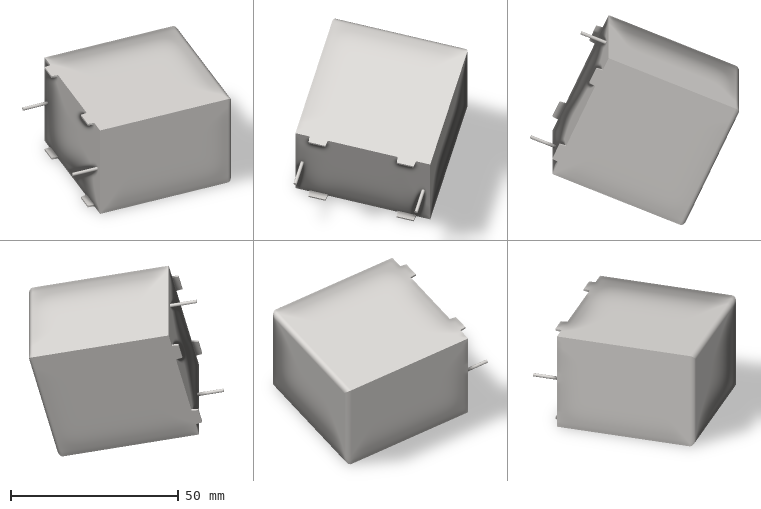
import cadquery as cq

OVERALL_DEPTH = 51.1

CASE_WIDTH = 41.8
CASE_DEPTH = 43.1
CASE_HEIGHT = 30.3
BACK_FILLET = 1.55

TAB_ROOT_WIDTH = 5.7
TAB_TIP_WIDTH = 5.2
TAB_LENGTH = 2.0
TAB_THICKNESS = 0.6
TAB_SPACING = 27.35

PIN_DIAMETER = 1.0
PIN_SPACING = 37.5
PIN_LENGTH = OVERALL_DEPTH - CASE_DEPTH

FRONT_FACE_Y = 0.0


def make_tab(center_x, bottom_z):
    """Tapered tongue pointing forward (-Y) from the front face."""
    tip_y = FRONT_FACE_Y - TAB_LENGTH
    return (
        cq.Workplane("XY", origin=(center_x, 0, bottom_z))
        .moveTo(-TAB_ROOT_WIDTH / 2, FRONT_FACE_Y)
        .lineTo(-TAB_TIP_WIDTH / 2, tip_y)
        .lineTo(TAB_TIP_WIDTH / 2, tip_y)
        .lineTo(TAB_ROOT_WIDTH / 2, FRONT_FACE_Y)
        .close()
        .extrude(TAB_THICKNESS)
    )


def make_case():
    """Solid box with a rounded back rim and four standoff tabs."""
    case = (
        cq.Workplane("XY", origin=(0, FRONT_FACE_Y, 0))
        .box(CASE_WIDTH, CASE_DEPTH, CASE_HEIGHT, centered=(True, False, True))
        .faces(">Y")
        .edges()
        .fillet(BACK_FILLET)
    )
    upper_tab_z = CASE_HEIGHT / 2 - TAB_THICKNESS
    lower_tab_z = -CASE_HEIGHT / 2
    for center_x in (-TAB_SPACING / 2, TAB_SPACING / 2):
        for bottom_z in (upper_tab_z, lower_tab_z):
            case = case.union(make_tab(center_x, bottom_z))
    return case


def make_pin(center_x):
    """Round wire from the front face forward (-Y), at mid height."""
    return (
        cq.Workplane("XZ", origin=(center_x, FRONT_FACE_Y, 0))
        .circle(PIN_DIAMETER / 2)
        .extrude(PIN_LENGTH)
    )


case = make_case()
pins = [make_pin(center_x) for center_x in (-PIN_SPACING / 2, PIN_SPACING / 2)]

result = cq.Compound.makeCompound([case.val(), *[pin.val() for pin in pins]])